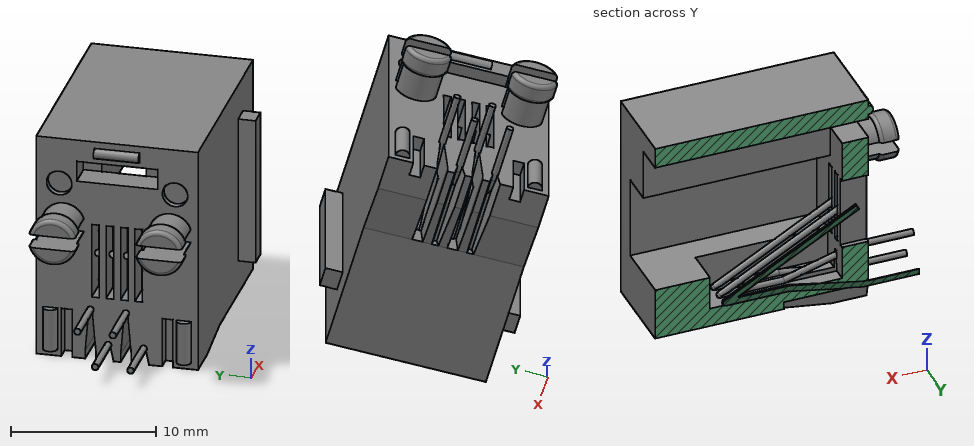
import cadquery as cq


BODY_LENGTH = 15.88
BODY_WIDTH = 11.5
BODY_HEIGHT = 16.5
BOTTOM_STEP = 0.65
RAMP_START = 2.62
RAMP_END = 6.28
REAR_WALL = 1.97

CAVITY_WIDTH = 7.99
CAVITY_FLOOR = 4.72
CAVITY_ROOF = 11.02
KEYWAY_WIDTH = 3.17
TROUGH_WIDTH = 4.13
TROUGH_FLOOR = 2.15
TROUGH_END = 11.8

WINDOW_WIDTH = 5.75
WINDOW_BOTTOM = 13.38
WINDOW_TOP = 14.88
BEAD_LENGTH = 3.19
BEAD_RADIUS = 0.37
BEAD_Z = 15.63

EAR_START = 11.55
EAR_LENGTH = 1.44
EAR_DEPTH = 1.24
EAR_BOTTOM = 3.17
EAR_TOP = 13.91

POST_Y = 3.8
POST_Z = 10.12
POST_LENGTH = 3.48
POST_DIAMETER = 3.03
HEAD_DIAMETER = 3.4
HEAD_LENGTH = 1.5
HEAD_ROUND = 0.3
POST_SPLIT = 0.96

BLIND_HOLE_DIAMETER = 1.8
BLIND_HOLE_DEPTH = 0.5
BLIND_HOLE_Y = 4.11
BLIND_HOLE_Z = 13.1

RIB_Y = 4.75
RIB_RADIUS = 0.51
RIB_BOTTOM = 0.5
RIB_TOP = 3.62
GROOVE_Y = 3.58
GROOVE_WIDTH = 0.77
GROOVE_DEPTH = 1.0

SPRING_PITCH = 1.02
SPRING_SLOT_WIDTH = 0.53
SPRING_SLOT_TOP = 10.21

WIRE_DIAMETER = 0.47
TAIL_PITCH = 1.25
TAIL_LENGTH = 19.68 - BODY_LENGTH
TAIL_Z_HIGH = 3.75
TAIL_Z_LOW = 1.22
TAIL_BEND_X = 0.4
RUN_START_X = 5.9
RUN_END_X = 10.63
RUN_SINK = 0.08
RUN_Z = TROUGH_FLOOR + WIRE_DIAMETER / 2 - RUN_SINK
TIP_X = 0.79
TIP_Z = 7.75

TAIL_SLOT_TOP_WIDTH = 0.24
TAIL_SLOT_BOTTOM_WIDTH = 0.75
TAIL_SLOT_STRAIGHT = 0.65

CONTACT_PLACES = (1.5, 0.5, -0.5, -1.5)
TAIL_HEIGHTS = (TAIL_Z_HIGH, TAIL_Z_LOW, TAIL_Z_HIGH, TAIL_Z_LOW)


def block(x_range, y_center, width, z_range):
    """Box between two X and two Z limits, centred on y_center."""
    length = x_range[1] - x_range[0]
    height = z_range[1] - z_range[0]
    corner = (x_range[0], y_center - width / 2, z_range[0])
    return cq.Workplane().box(length, width, height, centered=False).translate(corner)


def x_cylinder(diameter, x_start, x_end, y, z):
    """Cylinder along X."""
    plane = cq.Workplane("YZ", origin=(x_start, y, z))
    return plane.circle(diameter / 2).extrude(x_end - x_start)


def shell():
    """Outer block whose underside rises along a ramp behind the rear foot."""
    profile = [
        (0, 0),
        (RAMP_START, 0),
        (RAMP_END, BOTTOM_STEP),
        (BODY_LENGTH, BOTTOM_STEP),
        (BODY_LENGTH, BODY_HEIGHT),
        (0, BODY_HEIGHT),
    ]
    return cq.Workplane("XZ").polyline(profile).close().extrude(BODY_WIDTH / 2, both=True)


def plug_space():
    """Plug cavity, latch keyway and spring trough, open at the +X end."""
    inside = (REAR_WALL, BODY_LENGTH)
    cavity = block(inside, 0, CAVITY_WIDTH, (CAVITY_FLOOR, CAVITY_ROOF))
    keyway = block(inside, 0, KEYWAY_WIDTH, (CAVITY_FLOOR, WINDOW_TOP))
    trough = block((REAR_WALL, TROUGH_END), 0, TROUGH_WIDTH, (TROUGH_FLOOR, CAVITY_ROOF))
    return cavity.union(keyway).union(trough)


def latch_window():
    """Wide window through the rear wall, leading into the keyway."""
    return block((0, REAR_WALL), 0, WINDOW_WIDTH, (WINDOW_BOTTOM, WINDOW_TOP))


def latch_bead():
    """Half-round bead lying across the rear face, its other half inside the wall."""
    plane = cq.Workplane("XZ", origin=(0, 0, BEAD_Z))
    return plane.circle(BEAD_RADIUS).extrude(BEAD_LENGTH / 2, both=True)


def ears():
    """Bar through both side faces; its ends form the ears."""
    width = BODY_WIDTH + 2 * EAR_DEPTH
    return block((EAR_START, EAR_START + EAR_LENGTH), 0, width, (EAR_BOTTOM, EAR_TOP))


def snap_post(side):
    """Round post with a wider rounded head, split by a horizontal gap."""
    y = side * POST_Y
    head_end = HEAD_LENGTH - POST_LENGTH
    shaft = x_cylinder(POST_DIAMETER, -POST_LENGTH + HEAD_ROUND, 0, y, POST_Z)
    head = x_cylinder(HEAD_DIAMETER, -POST_LENGTH, head_end, y, POST_Z)
    head = head.edges().fillet(HEAD_ROUND)
    gap_z = (POST_Z - POST_SPLIT / 2, POST_Z + POST_SPLIT / 2)
    gap = block((-POST_LENGTH, 0), y, HEAD_DIAMETER, gap_z)
    return shaft.union(head).cut(gap)


def blind_hole(side):
    """Shallow round hole in the rear face."""
    return x_cylinder(BLIND_HOLE_DIAMETER, 0, BLIND_HOLE_DEPTH, side * BLIND_HOLE_Y, BLIND_HOLE_Z)


def rib(side):
    """Half-round standing rib, its other half inside the wall."""
    plane = cq.Workplane("XY", origin=(0, side * RIB_Y, RIB_BOTTOM))
    return plane.circle(RIB_RADIUS).extrude(RIB_TOP - RIB_BOTTOM)


def groove(side):
    """Groove in the rear face, open at the bottom."""
    return block((0, GROOVE_DEPTH), side * GROOVE_Y, GROOVE_WIDTH, (0, RIB_TOP))


def spring_slot(place):
    """Slot through the rear wall that guides the free end of a spring."""
    y = place * SPRING_PITCH
    return block((0, REAR_WALL), y, SPRING_SLOT_WIDTH, (CAVITY_FLOOR, SPRING_SLOT_TOP))


def tail_slot(place, tail_z):
    """Slot that widens downward from a tail and opens at the bottom, up to the ramp's end."""
    y = place * TAIL_PITCH
    top = TAIL_SLOT_TOP_WIDTH / 2
    bottom = TAIL_SLOT_BOTTOM_WIDTH / 2
    foot = [(y - bottom, 0), (y + bottom, 0)]
    if tail_z == TAIL_Z_HIGH:
        foot = [(y - bottom, TAIL_SLOT_STRAIGHT), *foot, (y + bottom, TAIL_SLOT_STRAIGHT)]
    outline = [(y - top, tail_z), *foot, (y + top, tail_z)]
    return cq.Workplane("YZ").polyline(outline).close().extrude(RAMP_END)


def contact(place, tail_z):
    """Bent wire: straight tail, slanted run into the trough, then a spring rising to the rear."""
    radius = WIRE_DIAMETER / 2
    tail_y = place * TAIL_PITCH
    spring_y = place * SPRING_PITCH
    path = [
        cq.Vector(-TAIL_LENGTH, tail_y, tail_z),
        cq.Vector(TAIL_BEND_X, tail_y, tail_z),
        cq.Vector(RUN_START_X, spring_y, RUN_Z),
        cq.Vector(RUN_END_X, spring_y, RUN_Z),
        cq.Vector(TIP_X, spring_y, TIP_Z),
    ]
    wire = cq.Workplane()
    for start, end in zip(path, path[1:]):
        along = end - start
        wire = wire.union(cq.Workplane(cq.Solid.makeCylinder(radius, along.Length, start, along)))
    for bend in path[1:-1]:
        wire = wire.union(cq.Workplane().sphere(radius).translate(bend))
    return wire.solids()


def build_housing(contacts):
    """Housing with all its features and a matching recess for every contact."""
    housing = shell().union(ears()).union(latch_bead())
    for side in (1, -1):
        housing = housing.union(snap_post(side)).union(rib(side))
        housing = housing.cut(blind_hole(side)).cut(groove(side))
    housing = housing.cut(plug_space()).cut(latch_window())
    for place, tail_z in zip(CONTACT_PLACES, TAIL_HEIGHTS):
        housing = housing.cut(spring_slot(place)).cut(tail_slot(place, tail_z))
    for wire in contacts:
        housing = housing.cut(wire)
    return housing.solids()


contacts = [contact(place, tail_z) for place, tail_z in zip(CONTACT_PLACES, TAIL_HEIGHTS)]
housing = build_housing(contacts)

result = cq.Compound.makeCompound([housing.val(), *[wire.val() for wire in contacts]])